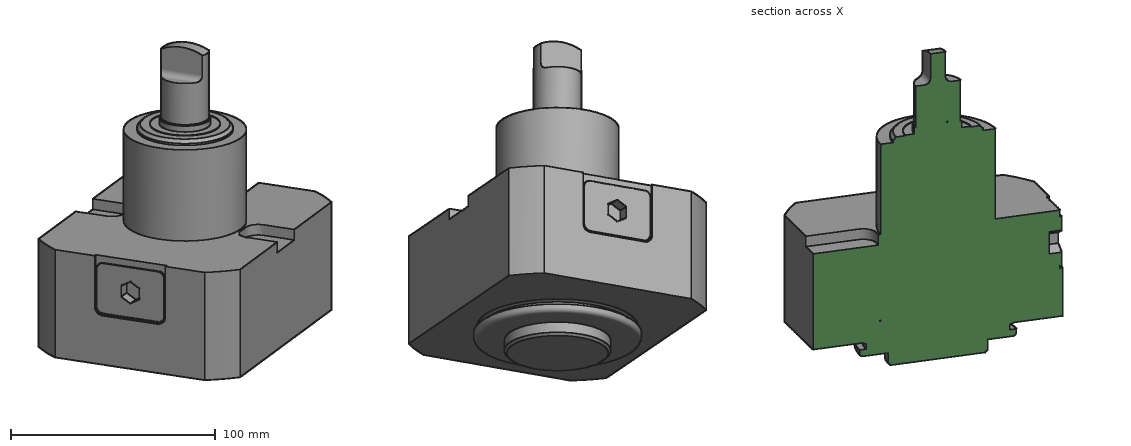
import cadquery as cq
import math

FLANGE_BOTTOM = 6.6
FLANGE_TOP = 10.5
BLOCK_BOTTOM = 13.6
BLOCK_TOP = 69.5
BARREL_TOP = 116.7
RING_TOP = 119.4
COLLAR_TOP = 123.3
SHOULDER_Z = 144.6
TOTAL_HEIGHT = 160.5

BLOCK_X = 108.0
BLOCK_Y = 130.0
CORNER_CUT_RADIUS = 76.4

SPIGOT_DIAMETER = 52.0
SPIGOT_CHAMFER = 1.3
FLANGE_DIAMETER = 82.0
FLANGE_FILLET = 2.1
NECK_DIAMETER = 75.0
NECK_TAPER_DIAMETER = 79.0
NECK_TAPER_HEIGHT = 0.8
BARREL_DIAMETER = 60.0
RING_DIAMETER = 47.0
RING_RIM_HEIGHT = 1.0
RING_BEVEL = 1.6
SEAL_DIAMETER = 34.3
SEAL_HEIGHT = 0.3
COLLAR_DIAMETER = 25.0
COLLAR_CHAMFER = 0.5
SHAFT_DIAMETER = 23.6

TANG_THICKNESS = 8.0
TANG_FILLET = 3.0
TANG_CROWN_DROP = 2.9

SLOT_WIDTH = 20.0
SLOT_DEPTH = 5.5
SLOT_CORNER_RADIUS = 6.6
SLOT_INNER_END = 31.1

RECESS_WIDTH = 37.9
RECESS_HEIGHT = 30.5
RECESS_DEPTH = 1.5
RECESS_CORNER_RADIUS = 4.5
PLATE_GAP = 1.0
PLATE_HEIGHT = 26.0
PLATE_THICKNESS = 1.0
PLATE_CORNER_RADIUS = 3.0
SOCKET_ACROSS_FLATS = 9.8
SOCKET_DEPTH = 6.5


def disc(diameter, bottom, top):
    return cq.Workplane("XY").workplane(offset=bottom).circle(diameter / 2).extrude(top - bottom)


def make_block():
    height = BLOCK_TOP - BLOCK_BOTTOM
    block = cq.Workplane("XY").box(BLOCK_X, BLOCK_Y, height, centered=(True, True, False))
    block = block.translate((0, 0, BLOCK_BOTTOM))
    return block.intersect(disc(2 * CORNER_CUT_RADIUS, BLOCK_BOTTOM, BLOCK_TOP))


def make_lower_spigot():
    spigot = disc(SPIGOT_DIAMETER, 0, BLOCK_BOTTOM).faces("<Z").chamfer(SPIGOT_CHAMFER)
    flange = disc(FLANGE_DIAMETER, FLANGE_BOTTOM, FLANGE_TOP).faces("<Z").edges().fillet(FLANGE_FILLET)
    neck = disc(NECK_DIAMETER, FLANGE_TOP, BLOCK_BOTTOM)
    taper = (
        cq.Workplane("XY")
        .workplane(offset=BLOCK_BOTTOM - NECK_TAPER_HEIGHT)
        .circle(NECK_DIAMETER / 2)
        .workplane(offset=NECK_TAPER_HEIGHT)
        .circle(NECK_TAPER_DIAMETER / 2)
        .loft(ruled=True)
    )
    return spigot.union(flange).union(neck).union(taper)


def make_barrel():
    barrel = disc(BARREL_DIAMETER, BLOCK_TOP, BARREL_TOP)
    ring_bevel_height = RING_TOP - BARREL_TOP - RING_RIM_HEIGHT
    ring = disc(RING_DIAMETER, BARREL_TOP, RING_TOP)
    ring = ring.faces(">Z").edges().chamfer(ring_bevel_height, RING_BEVEL)
    seal = disc(SEAL_DIAMETER, RING_TOP, RING_TOP + SEAL_HEIGHT)
    collar = disc(COLLAR_DIAMETER, RING_TOP, COLLAR_TOP).faces(">Z").chamfer(COLLAR_CHAMFER)
    return barrel.union(ring).union(seal).union(collar)


def make_shaft():
    radius = SHAFT_DIAMETER / 2
    shaft = disc(SHAFT_DIAMETER, RING_TOP, TOTAL_HEIGHT)

    half_tang = TANG_THICKNESS / 2
    fillet_outer = half_tang + TANG_FILLET
    fillet_top = SHOULDER_Z + TANG_FILLET
    arc_offset = TANG_FILLET * (1 - math.sqrt(0.5))
    arc_y = half_tang + arc_offset
    arc_z = SHOULDER_Z + arc_offset
    flats = (
        cq.Workplane("YZ")
        .moveTo(-radius, RING_TOP)
        .lineTo(radius, RING_TOP)
        .lineTo(radius, SHOULDER_Z)
        .lineTo(fillet_outer, SHOULDER_Z)
        .threePointArc((arc_y, arc_z), (half_tang, fillet_top))
        .lineTo(half_tang, TOTAL_HEIGHT)
        .lineTo(-half_tang, TOTAL_HEIGHT)
        .lineTo(-half_tang, fillet_top)
        .threePointArc((-arc_y, arc_z), (-fillet_outer, SHOULDER_Z))
        .lineTo(-radius, SHOULDER_Z)
        .close()
        .extrude(radius, both=True)
    )

    crown_edge = TOTAL_HEIGHT - TANG_CROWN_DROP
    crown = (
        cq.Workplane("XZ")
        .moveTo(-radius, RING_TOP)
        .lineTo(radius, RING_TOP)
        .lineTo(radius, crown_edge)
        .threePointArc((0, TOTAL_HEIGHT), (-radius, crown_edge))
        .close()
        .extrude(radius, both=True)
    )
    return shaft.intersect(flats).intersect(crown)


def make_slot(angle, outer_end):
    """Slot open at the block side; angle is its direction from the axis."""
    length = outer_end - SLOT_INNER_END
    slot = (
        cq.Workplane("XY")
        .box(length, SLOT_WIDTH, SLOT_DEPTH, centered=(False, True, False))
        .edges("|Z and <X")
        .fillet(SLOT_CORNER_RADIUS)
        .translate((SLOT_INNER_END, 0, BLOCK_TOP - SLOT_DEPTH))
    )
    return slot.rotate((0, 0, 0), (0, 0, 1), angle)


def add_cover_plate(body):
    front_y = -BLOCK_Y / 2
    floor_y = front_y + RECESS_DEPTH
    recess_bottom = BLOCK_TOP - RECESS_HEIGHT
    plate_center = recess_bottom + PLATE_GAP + PLATE_HEIGHT / 2
    plate_width = RECESS_WIDTH - 2 * PLATE_GAP

    recess = (
        cq.Workplane("XY")
        .box(RECESS_WIDTH, RECESS_DEPTH, RECESS_HEIGHT, centered=(True, False, False))
        .edges("|Y and <Z")
        .fillet(RECESS_CORNER_RADIUS)
        .translate((0, front_y, recess_bottom))
    )
    plate = (
        cq.Workplane("XZ", origin=(0, floor_y, plate_center))
        .rect(plate_width, PLATE_HEIGHT)
        .extrude(PLATE_THICKNESS)
        .edges("|Y")
        .fillet(PLATE_CORNER_RADIUS)
    )
    socket = (
        cq.Workplane("XZ", origin=(0, floor_y - PLATE_THICKNESS, plate_center))
        .polygon(6, SOCKET_ACROSS_FLATS, circumscribed=True)
        .extrude(-SOCKET_DEPTH)
    )
    return body.cut(recess).union(plate).cut(socket)


body = make_block()
for slot_angle, slot_outer_end in ((0, BLOCK_X / 2), (90, BLOCK_Y / 2), (180, BLOCK_X / 2)):
    body = body.cut(make_slot(slot_angle, slot_outer_end))
body = add_cover_plate(body)

result = body.union(make_lower_spigot()).union(make_barrel()).union(make_shaft())